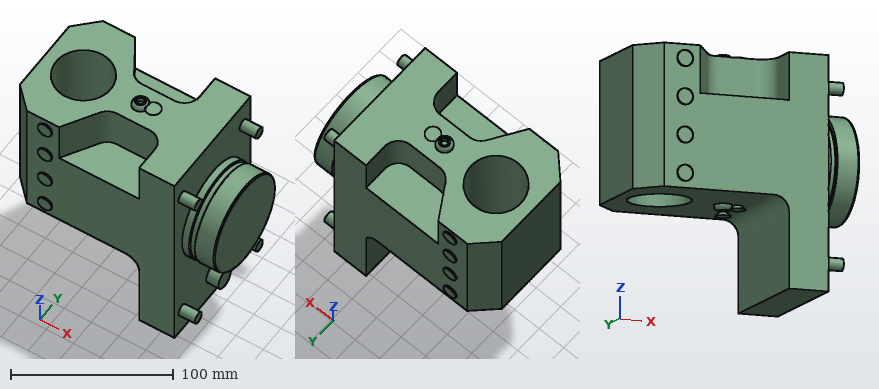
import cadquery as cq
import math


body_length = 123.5
body_width = 85.0
body_height = 90.0
plate_thickness = 26.0
plate_height = 148.0
top_z = 64.0
body_bottom_z = top_z - body_height
plate_bottom_z = top_z - plate_height
nose_x = -body_length
plate_front_x = -plate_thickness
side_y = body_width / 2
nose_chamfer = 15.0
corner_fillet = 10.0
bore_diameter = 40.0
bore_x = nose_x + 28.6

pocket_depth = 30.0
web_half_width = 14.0
pocket_edge_x = nose_x + 38.6
pocket_web_x = nose_x + 56.4
pocket_fillet = 11.0

spigot_diameter = 68.0
spigot_length = 24.0
spigot_radius = spigot_diameter / 2
spigot_chamfer_length = 1.0
spigot_chamfer_depth = 0.5
groove_start = 5.0
groove_width = 4.4
ring_section = 3.6
ring_outer_radius = 33.5
groove_radius = ring_outer_radius - ring_section / 2

screw_diameter = 8.0
screw_length = 12.0
screw_y = 34.1
upper_screw_z = top_z - 19.0
screw_pitch_z = 110.0
locator_diameter = 14.1
locator_length = 9.0
locator_z = -64.0
pad_diameter = 14.4
pad_thickness = 0.5
pad_z = -44.9

disc_diameter = 10.2
disc_thickness = 0.99
disc_count = 4
disc_pitch = 24.0
first_disc_z = top_z - 9.0

nozzle_x = nose_x + 70.6
dome_radius = 5.8
dome_height = 3.5
dome_flat_radius = 3.5
socket_radius = 2.5
plug_x = nose_x + 80.0
plug_base_radius = 3.0
plug_rim_radius = 5.2
plug_height = 2.3
nipple_neck_end = 4.5
nipple_rim_radius = 5.0
nipple_height = 7.1


def bracket():
    """L-shaped block and plate with the two nose corners cut off."""
    profile = [
        (nose_x, top_z),
        (0, top_z),
        (0, plate_bottom_z),
        (plate_front_x, plate_bottom_z),
        (plate_front_x, body_bottom_z),
        (nose_x, body_bottom_z),
    ]
    solid = cq.Workplane("XZ").polyline(profile).close().extrude(side_y, both=True)
    inner_corner = cq.selectors.NearestToPointSelector((plate_front_x, 0, body_bottom_z))
    solid = solid.edges("|Y").edges(inner_corner).fillet(corner_fillet)
    return solid.faces("<X").edges("|Z").chamfer(nose_chamfer)


def pocket():
    """Relief pocket on the -Y side of the web."""
    outline = [
        (pocket_edge_x, -side_y),
        (pocket_web_x, -web_half_width),
        (plate_front_x, -web_half_width),
        (plate_front_x, -side_y),
    ]
    solid = (
        cq.Workplane("XY", origin=(0, 0, top_z))
        .polyline(outline).close()
        .extrude(-pocket_depth)
    )
    return solid.edges("|Z").edges(">Y").fillet(pocket_fillet)


def bore():
    return (
        cq.Workplane("XY", origin=(bore_x, 0, body_bottom_z))
        .circle(bore_diameter / 2)
        .extrude(body_height)
    )


def spigot():
    """Grooved spigot revolved about X, with the O-ring seated in the groove."""
    groove_end = groove_start + groove_width
    profile = [
        (0, 0),
        (0, spigot_radius),
        (groove_start, spigot_radius),
        (groove_start, groove_radius),
        (groove_end, groove_radius),
        (groove_end, spigot_radius),
        (spigot_length - spigot_chamfer_length, spigot_radius),
        (spigot_length, spigot_radius - spigot_chamfer_depth),
        (spigot_length, 0),
    ]
    turned = cq.Workplane("XY").polyline(profile).close().revolve(360, (0, 0), (1, 0))
    ring_radius = ring_section / 2
    ring = (
        cq.Workplane("XY")
        .center(groove_start + ring_radius, groove_radius)
        .circle(ring_radius)
        .revolve(360, (0, -groove_radius), (1, -groove_radius))
    )
    return turned.union(ring)


def face_boss(y, z, diameter, length):
    """Round boss standing on the mounting face."""
    return cq.Workplane("YZ", origin=(0, y, z)).circle(diameter / 2).extrude(length)


def turn_about_z(x, profile):
    """Turn a (radius, height) wire about the vertical axis at the given x."""
    return profile.close().revolve(360, (0, 0), (0, 1)).translate((x, 0, 0))


def dome():
    """Domed head whose side rises vertically from its base."""
    rim_step = dome_radius - dome_flat_radius
    arc_radius = (dome_height**2 + rim_step**2) / (2 * rim_step)
    arc_center = dome_radius - arc_radius
    half_sweep = math.atan2(dome_height, dome_flat_radius - arc_center) / 2
    arc_middle = (
        arc_center + arc_radius * math.cos(half_sweep),
        arc_radius * math.sin(half_sweep),
    )
    profile = (
        cq.Workplane("XZ")
        .lineTo(dome_radius, 0)
        .threePointArc(arc_middle, (dome_flat_radius, dome_height))
        .lineTo(0, dome_height)
    )
    return turn_about_z(nozzle_x, profile)


def socket():
    return cq.Workplane("XY", origin=(nozzle_x, 0, 0)).circle(socket_radius).extrude(dome_height)


def plug():
    profile = cq.Workplane("XZ").polyline(
        [(0, 0), (plug_base_radius, 0), (plug_rim_radius, plug_height), (0, plug_height)]
    )
    return turn_about_z(plug_x, profile)


def nipple():
    """Neck filling the socket, flaring into a cone."""
    profile = cq.Workplane("XZ").polyline([
        (0, 0),
        (socket_radius, 0),
        (socket_radius, nipple_neck_end),
        (nipple_rim_radius, nipple_height),
        (0, nipple_height),
    ])
    return turn_about_z(nozzle_x, profile)


def on_top(fitting):
    return fitting.translate((0, 0, top_z))


def on_underside(fitting):
    return fitting.mirror("XY").translate((0, 0, body_bottom_z))


result = bracket().cut(bore())
result = result.cut(pocket()).cut(pocket().mirror("XZ"))
result = result.union(spigot())

for y in (-screw_y, screw_y):
    for z in (upper_screw_z, upper_screw_z - screw_pitch_z):
        result = result.union(face_boss(y, z, screw_diameter, screw_length))
result = result.union(face_boss(0, locator_z, locator_diameter, locator_length))
result = result.union(face_boss(0, pad_z, pad_diameter, pad_thickness))

for i in range(disc_count):
    disc = (
        cq.Workplane("XZ", origin=(bore_x, -side_y, first_disc_z - i * disc_pitch))
        .circle(disc_diameter / 2)
        .extrude(disc_thickness)
    )
    result = result.union(disc).union(disc.mirror("XZ"))

result = result.union(on_top(dome().union(plug()).cut(socket())))
result = result.union(on_underside(dome().union(plug()).union(nipple())))